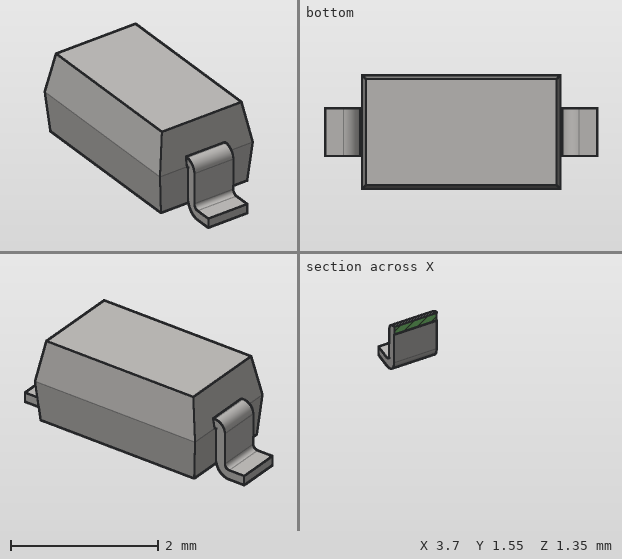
import cadquery as cq
import math

overall_length = 3.7
overall_height = 1.35

body_length = 2.7
body_width = 1.55
body_bottom = 0.1
parting_height = (body_bottom + overall_height) / 2
upper_draft = 10.0
lower_draft = 5.0

lead_width = 0.65
lead_thickness = 0.148
lead_shoulder_x = 1.525
lead_embed = 0.148
shoulder_radius = 0.17
foot_inner_radius = 0.075


def drafted_half(height, draft):
    """Half of the body, narrowing away from the parting plane; a negative height goes down."""
    return (
        cq.Workplane("XY")
        .workplane(offset=parting_height)
        .rect(body_length, body_width)
        .extrude(height, taper=draft)
    )


def make_body():
    upper = drafted_half(overall_height - parting_height, upper_draft)
    lower = drafted_half(body_bottom - parting_height, lower_draft)
    return upper.union(lower)


def make_lead():
    """Lead on the +X end: shoulder out of the body, upright, then a flat foot at Z = 0."""
    tip_x = overall_length / 2
    root_x = body_length / 2 - lead_embed
    outer_x = lead_shoulder_x
    inner_x = outer_x - lead_thickness
    top_z = parting_height + lead_thickness
    foot_outer_radius = foot_inner_radius + lead_thickness
    foot_bend_x = outer_x + foot_inner_radius
    foot_bend_z = foot_outer_radius
    shoulder_x = outer_x - shoulder_radius
    shoulder_z = top_z - shoulder_radius
    diagonal = math.sqrt(0.5)

    profile = (
        cq.Workplane("XZ")
        .moveTo(root_x, top_z)
        .lineTo(shoulder_x, top_z)
        .threePointArc(
            (shoulder_x + shoulder_radius * diagonal, shoulder_z + shoulder_radius * diagonal),
            (outer_x, shoulder_z),
        )
        .lineTo(outer_x, foot_bend_z)
        .threePointArc(
            (foot_bend_x - foot_inner_radius * diagonal, foot_bend_z - foot_inner_radius * diagonal),
            (foot_bend_x, lead_thickness),
        )
        .lineTo(tip_x, lead_thickness)
        .lineTo(tip_x, 0)
        .lineTo(foot_bend_x, 0)
        .threePointArc(
            (foot_bend_x - foot_outer_radius * diagonal, foot_bend_z - foot_outer_radius * diagonal),
            (inner_x, foot_bend_z),
        )
        .lineTo(inner_x, parting_height)
        .lineTo(root_x, parting_height)
        .close()
    )
    return profile.extrude(lead_width / 2, both=True)


right_lead = make_lead()
left_lead = right_lead.mirror("YZ")
result = make_body().union(right_lead).union(left_lead)